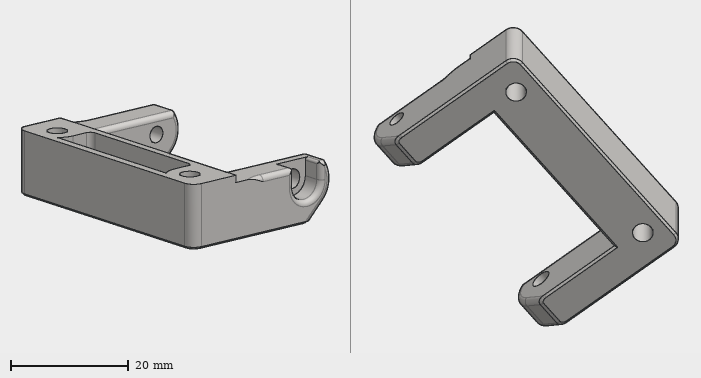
import cadquery as cq
import math

length = 46
depth = 31.2
height = 11.6

block_depth = 9.8
corner_radius = 2.02
bottom_chamfer = 0.4
bolt_hole_diameter = 3.5
bolt_x = 17.35
bolt_y = 4.3

pocket_half_length = 13.25
pocket_front_y = 1.6
pocket_back_y = 8.33
pocket_corner_radius = 1.0
pocket_floor_z = 1.5
pocket_floor_radius = 2.02

arm_width = 6.55
arm_height = 10.3
edge_radius = 1.0
pivot_y = 25.75
pivot_z = 7.05
left_pivot_diameter = 2.9
right_pivot_diameter = 3.5
slope_angle = math.radians(45)
runout_y = 15.85
runout_length = 3.5

slot_width = 6
slot_top_radius = 0.5
slot_length = 4.0

half_length = length / 2
arm_inner_x = half_length - arm_width
end_radius = depth - pivot_y


def box(x_min, x_max, y_min, y_max, z_min, z_max):
    size = (x_max - x_min, y_max - y_min, z_max - z_min)
    return cq.Workplane("XY").box(*size, centered=False).translate((x_min, y_min, z_min))


def make_block():
    block = box(-half_length, half_length, 0, block_depth, 0, height)
    return block.edges("|Z and <Y").fillet(corner_radius)


def make_arm_tip():
    """Right arm beyond the runout: rounded nose, sloped underside and rounded side edges."""
    nose_top_y = pivot_y + math.sqrt(end_radius**2 - (arm_height - pivot_z) ** 2)
    tangent_y = pivot_y + end_radius * math.cos(slope_angle)
    tangent_z = pivot_z - end_radius * math.sin(slope_angle)
    slope_foot_y = tangent_y - tangent_z / math.tan(slope_angle)
    tip = (
        cq.Workplane("YZ", origin=(arm_inner_x, 0, 0))
        .moveTo(runout_y, 0)
        .lineTo(slope_foot_y, 0)
        .lineTo(tangent_y, tangent_z)
        .threePointArc((depth, pivot_z), (nose_top_y, arm_height))
        .lineTo(runout_y, arm_height)
        .close()
        .extrude(arm_width)
    )
    return tip.faces("<X or >X").edges("not(<Y or <Z)").fillet(edge_radius)


def make_arm_root():
    """Right arm between block and tip; its outer top rounding swings out of the side face."""
    root = box(arm_inner_x, half_length, block_depth, runout_y, 0, arm_height)
    root = root.edges("<X and >Z").fillet(edge_radius)

    swing_radius = (runout_length**2 + edge_radius**2) / (2 * edge_radius)
    arc_middle = edge_radius * (1 - math.sqrt(0.5))
    inner_x = half_length - edge_radius
    runout = (
        cq.Workplane("XZ", origin=(0, runout_y, 0))
        .moveTo(inner_x, arm_height)
        .threePointArc(
            (half_length - arc_middle, arm_height - arc_middle),
            (half_length, arm_height - edge_radius),
        )
        .lineTo(half_length, arm_height)
        .close()
        .revolve(360, (inner_x + swing_radius, 0), (inner_x + swing_radius, 1))
    )
    return root.cut(runout)


def make_pocket():
    """Pocket with a rounded back; its ends follow circles around the bolt holes."""
    bolt_clearance = bolt_x - pocket_half_length
    flare_depth = bolt_y - pocket_front_y
    front_half_length = bolt_x - math.sqrt(bolt_clearance**2 - flare_depth**2)
    pocket = box(
        -front_half_length, front_half_length, pocket_front_y, bolt_y, pocket_floor_z, height
    )
    posts = cq.Workplane("XY").pushPoints([(-bolt_x, bolt_y), (bolt_x, bolt_y)])
    pocket = pocket.cut(posts.circle(bolt_clearance).extrude(height))
    back = box(
        -pocket_half_length, pocket_half_length, bolt_y, pocket_back_y, pocket_floor_z, height
    )
    back = back.edges("|Z and >Y").fillet(pocket_corner_radius)

    cove_y = pocket_back_y - pocket_floor_radius
    cove_z = pocket_floor_z + pocket_floor_radius
    cove = box(-half_length, half_length, cove_y, pocket_back_y, pocket_floor_z, cove_z)
    roller = (
        cq.Workplane("YZ", origin=(-half_length, 0, 0))
        .center(cove_y, cove_z)
        .circle(pocket_floor_radius)
        .extrude(length)
    )
    return pocket.union(back.cut(cove.cut(roller)))


def slot_section():
    """Half section of the slot, from its axis to the wall that flares at the side face."""
    slot_x = half_length - slot_length
    half_width = slot_width / 2
    rim_x = half_length - edge_radius
    arc_x = rim_x + edge_radius * math.sqrt(0.5)
    arc_half_width = half_width + edge_radius * (1 - math.sqrt(0.5))
    return (
        cq.Workplane("XY", origin=(0, pivot_y, pivot_z))
        .moveTo(slot_x, 0)
        .lineTo(slot_x, half_width)
        .lineTo(rim_x, half_width)
        .threePointArc((arc_x, arc_half_width), (half_length, half_width + edge_radius))
        .lineTo(half_length, 0)
        .close()
    )


def slot_top_rounding():
    """Widens the rear half of the slot mouth to round its edge at the top of the arm."""
    half_width = slot_width / 2
    arc_middle = slot_top_radius * (1 - math.sqrt(0.5))
    mouth_height = arm_height - pivot_z
    return (
        cq.Workplane("YZ", origin=(half_length - slot_length, pivot_y, pivot_z))
        .moveTo(0, mouth_height)
        .lineTo(half_width + slot_top_radius, mouth_height)
        .threePointArc(
            (half_width + arc_middle, mouth_height - arc_middle),
            (half_width, mouth_height - slot_top_radius),
        )
        .lineTo(0, mouth_height - slot_top_radius)
        .close()
        .extrude(slot_length)
    )


def make_slot():
    """Slot that is open at the top, with rounded edges at the side and top faces."""
    rear_opening = slot_section().extrude(arm_height - pivot_z).union(slot_top_rounding())
    front_opening = rear_opening.mirror("XZ", (0, pivot_y, 0))
    trough = slot_section().revolve(360, (0, 0), (1, 0))
    lower_half = box(0, length, 0, depth, 0, pivot_z)
    return trough.intersect(lower_half).union(rear_opening).union(front_opening)


def pivot_cylinder(diameter, x_min, x_max):
    """Cylinder along the pivot axis."""
    pivot = cq.Workplane("YZ", origin=(x_min, pivot_y, pivot_z))
    return pivot.circle(diameter / 2).extrude(x_max - x_min)


right_arm = make_arm_root().union(make_arm_tip())
body = make_block().union(right_arm).union(right_arm.mirror("YZ"))
body = body.faces("<Z").edges("not >Y").chamfer(bottom_chamfer)

bolt_holes = (
    cq.Workplane("XY")
    .pushPoints([(-bolt_x, bolt_y), (bolt_x, bolt_y)])
    .circle(bolt_hole_diameter / 2)
    .extrude(height)
)
left_pivot_hole = pivot_cylinder(left_pivot_diameter, -half_length, 0)
right_pivot_hole = pivot_cylinder(right_pivot_diameter, 0, half_length)

result = body.cut(bolt_holes).cut(left_pivot_hole).cut(right_pivot_hole)
result = result.cut(make_pocket()).cut(make_slot())